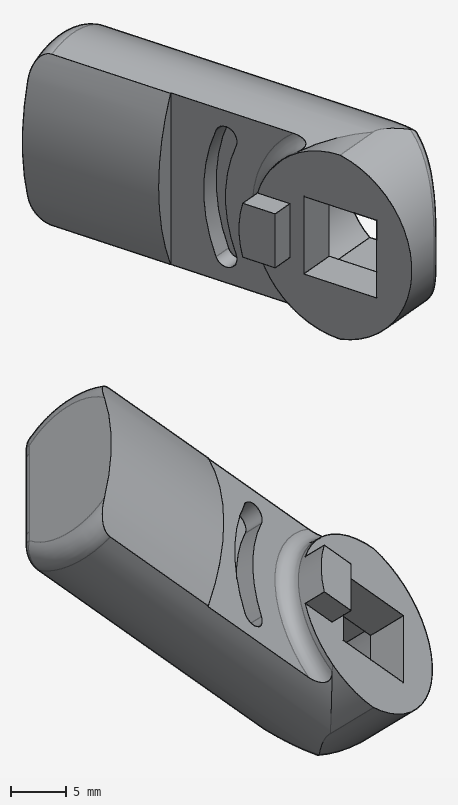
import cadquery as cq
import math

length = 42.8
height = 19.0
back_y = 11.05
half_height = height / 2

body_front_y = 1.95
barrel_radius = 9.0
barrel_axis_y = 5.3
end_side_fillet = 1.93
back_fillet = 0.95

pad_length = 15.0
pad_radius = 21.4

head_x = 34.92
head_radius = half_height
head_fillet = 1.5

slope_start_x = 31.95
slope_middle = (37.65, 8.85)
slope_end_y = 3.85

square_size = 8.0
square_depth = 4.05
recess_radius = 6.85
recess_height = 10.6
tab_end_x = 29.4
tab_height = 5.55
tab_depth = 2.35
slot_path_radius = 15.15
slot_width = 2.4
slot_end_angle = 23.5
slot_depth = 2.0


def plane_xz(y):
    """Sketch plane at a given Y, with its normal toward +Y and local y pointing to -Z."""
    return cq.Plane(origin=(0, y, 0), xDir=(1, 0, 0), normal=(0, 1, 0))


def cylinder_y(x, radius, start_y, depth):
    return cq.Workplane(plane_xz(start_y)).center(x, 0).circle(radius).extrude(depth)


def outline():
    """Straight grip ending in the rounded tip of the head."""
    return (
        cq.Workplane(plane_xz(0))
        .moveTo(0, -half_height)
        .lineTo(head_x, -half_height)
        .threePointArc((length, 0), (head_x, half_height))
        .lineTo(0, half_height)
        .close()
        .extrude(back_y)
    )


def barrel():
    """Body section with bulging upper and lower sides, running along X."""
    def side_z(y):
        return half_height - barrel_radius + math.sqrt(barrel_radius**2 - (y - barrel_axis_y)**2)

    front_z = side_z(0)
    back_z = side_z(back_y)
    section = (
        cq.Workplane("YZ")
        .moveTo(0, -front_z)
        .lineTo(0, front_z)
        .threePointArc((barrel_axis_y, half_height), (back_y, back_z))
        .lineTo(back_y, -back_z)
        .threePointArc((barrel_axis_y, -half_height), (0, -front_z))
        .close()
    )
    return section.extrude(length)


def slope_cutter():
    return (
        cq.Workplane("XY", origin=(0, 0, -height))
        .moveTo(slope_start_x, back_y)
        .threePointArc(slope_middle, (length, slope_end_y))
        .lineTo(length + height, slope_end_y)
        .lineTo(length + height, back_y + height)
        .lineTo(slope_start_x, back_y + height)
        .close()
        .extrude(2 * height)
    )


def head():
    """Full-height disc that carries the mounting face."""
    return cylinder_y(head_x, head_radius, 0, barrel_axis_y).intersect(outline())


def rounded_shell():
    """Barrel and head with the slope cut and the end, back and slope edges rounded."""
    shell = barrel().intersect(outline()).union(head()).cut(slope_cutter())
    shell = shell.faces("<X").edges("%CIRCLE").fillet(end_side_fillet)
    shell = shell.faces("<X").edges(">Y").fillet(back_fillet)

    crease_end_x = 37.65
    crease_end_y = 8.55
    on_barrel = cq.selectors.BoxSelector(
        (slope_start_x + 0.43, crease_end_y, -height), (crease_end_x, back_y, height)
    )
    on_tip = cq.selectors.BoxSelector((crease_end_x, slope_end_y, -height), (length, back_y, height))
    return shell.edges(on_barrel + on_tip).edges("not |Z").fillet(back_fillet)


def head_blend():
    """Concave blend between the disc and the front of the body."""
    blend_y = body_front_y - head_fillet
    outer_radius = head_radius + head_fillet
    arc_offset = head_fillet * math.sqrt(0.5)
    return (
        cq.Workplane("XY")
        .moveTo(head_x, blend_y)
        .lineTo(head_x - head_radius, blend_y)
        .threePointArc(
            (head_x - outer_radius + arc_offset, blend_y + arc_offset),
            (head_x - outer_radius, body_front_y),
        )
        .lineTo(head_x, body_front_y)
        .close()
        .revolve(360, (head_x, 0, 0), (head_x, 1, 0))
    )


def front_relief():
    """Material removed in front of the body, leaving the pad, the head and its blend."""
    block = cq.Workplane("XY").box(length, body_front_y, 2 * height, centered=(False, False, True))
    pad = cq.Workplane("YZ").center(pad_radius, 0).circle(pad_radius).extrude(pad_length)
    return block.cut(pad).cut(head()).cut(head_blend())


def stop_tab():
    """Tab standing on the mounting face, flush with the round side of the head."""
    tab_root_y = body_front_y
    tab = cq.Workplane("XY").box(tab_end_x, tab_depth + tab_root_y, tab_height, centered=(False, False, True))
    tab = tab.translate((0, -tab_depth, 0))
    return tab.intersect(cylinder_y(head_x, head_radius, -tab_depth, tab_depth + tab_root_y))


def curved_slot():
    """Blind slot with round ends, concentric with the head."""
    angle = math.radians(slot_end_angle)

    def point(radius, direction):
        return (head_x - radius * math.cos(direction), radius * math.sin(direction))

    inner = slot_path_radius - slot_width / 2
    outer = slot_path_radius + slot_width / 2
    cap_angle = angle + slot_width / 2 / slot_path_radius
    return (
        cq.Workplane(plane_xz(body_front_y))
        .moveTo(*point(outer, -angle))
        .threePointArc(point(outer, 0), point(outer, angle))
        .threePointArc(point(slot_path_radius, cap_angle), point(inner, angle))
        .threePointArc(point(inner, 0), point(inner, -angle))
        .threePointArc(point(slot_path_radius, -cap_angle), point(outer, -angle))
        .close()
        .extrude(slot_depth)
    )


def square_hole():
    return cq.Workplane(plane_xz(0)).center(head_x, 0).rect(square_size, square_size).extrude(back_y)


def rear_recess():
    """Round recess with two flats, opening the square hole toward the back."""
    depth = back_y - square_depth
    bore = cylinder_y(head_x, recess_radius, square_depth, depth)
    flats = cq.Workplane(plane_xz(square_depth)).center(head_x, 0)
    return bore.intersect(flats.rect(2 * recess_radius, recess_height).extrude(depth))


result = rounded_shell().cut(front_relief()).union(stop_tab())
result = result.cut(curved_slot()).cut(square_hole()).cut(rear_recess())